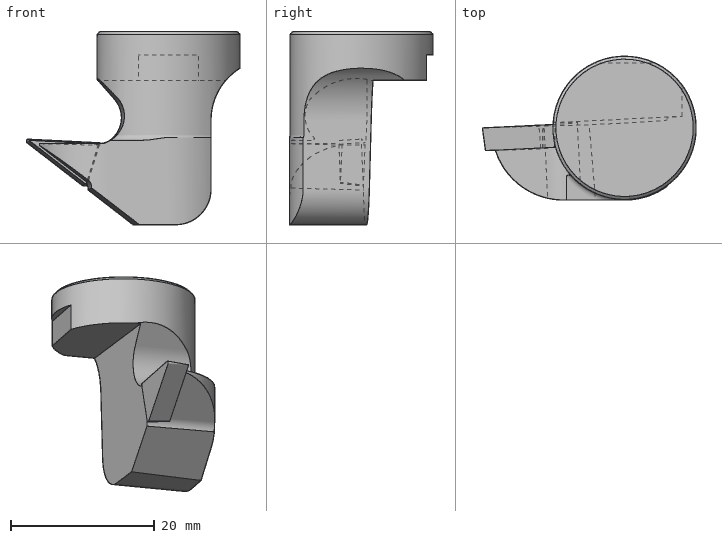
import cadquery as cq
import math

OVERALL_LENGTH = 29.87
TOTAL_HEIGHT = 27.0
SHANK_RADIUS = 10.0
TOP_CHAMFER = 0.42
FLAT_Y = 9.08
FLAT_TOP = 23.75
CEILING = 20.15

FOOT_TOP = 11.8
FOOT_RADIUS = 10.1
NOSE_X = -8.5
FOOT_FILLET = 0.75

FLANK_X = 5.95
FLANK_SCALLOP_RADIUS = 8.42
FLANK_SCALLOP_Z = 14.67
FLANK_CORNER_RADIUS = 5.0

TIP_X = SHANK_RADIUS - OVERALL_LENGTH
TIP_Z = 11.98
RAKE_SLOPE_X = 0.05
RAKE_SLOPE_Z = 0.027
CLEARANCE_ANGLE = 37.7
TIP_RADIUS = 0.3
INSERT_GAP = 0.6

GULLET_RADIUS = 3.9
GULLET_X = 9.38
GULLET_Y = 3
GULLET_WALL_ANGLE = 41
FLOOR_ANGLE = 1.5

INSERT_TOP_LENGTH = 10.3
INSERT_TOP_DROP = 0.5
INSERT_FOOT_X = 7.92
INSERT_FOOT_WIDTH = 0.55
INSERT_THICKNESS = 3.2
INSERT_TAPER = 5

RELIEF_RADIUS = 1.4
RELIEF_X = 7.23

REACH = 59.75
OVERLAP = 0.3

rake = cq.Plane(
    origin=(TIP_X, 0, TIP_Z),
    xDir=(1, RAKE_SLOPE_X, 0),
    normal=(RAKE_SLOPE_X, -1, RAKE_SLOPE_Z),
)


def underside_y(x):
    """Height of the underside in the rake plane, x to the right of the tip."""
    slope = math.radians(CLEARANCE_ANGLE)
    return -TIP_RADIUS - TIP_RADIUS / math.cos(slope) - (x - TIP_RADIUS) * math.tan(slope)


def make_shank():
    shank = cq.Workplane("XY").circle(SHANK_RADIUS).extrude(TOTAL_HEIGHT)
    shank = shank.faces(">Z").edges().chamfer(TOP_CHAMFER)
    flat = cq.Workplane("XY").box(REACH, REACH, FLAT_TOP, centered=(True, False, False))
    return shank.cut(flat.translate((0, FLAT_Y, 0)))


def make_foot_plan(height):
    """Foot outline with a round nose, a straight side and a round end."""
    nose_y = SHANK_RADIUS - FOOT_RADIUS
    return (
        cq.Workplane("XY")
        .moveTo(NOSE_X - SHANK_RADIUS, nose_y)
        .radiusArc((NOSE_X, -FOOT_RADIUS), -SHANK_RADIUS)
        .lineTo(0, -FOOT_RADIUS)
        .radiusArc((FOOT_RADIUS, 0), -FOOT_RADIUS)
        .lineTo(0, FOOT_RADIUS)
        .lineTo(NOSE_X - SHANK_RADIUS, FOOT_RADIUS)
        .close()
        .extrude(height)
    )


def make_foot_fillet():
    """Concave ring between the shank and the top of the foot."""
    ring = (
        cq.Workplane("XZ")
        .moveTo(SHANK_RADIUS - OVERLAP, FOOT_TOP)
        .lineTo(SHANK_RADIUS + FOOT_FILLET, FOOT_TOP)
        .radiusArc((SHANK_RADIUS, FOOT_TOP + FOOT_FILLET), FOOT_FILLET)
        .lineTo(SHANK_RADIUS - OVERLAP, FOOT_TOP + FOOT_FILLET)
        .close()
        .revolve(360, (0, 0, 0), (0, 1, 0))
    )
    return ring.intersect(make_foot_plan(TOTAL_HEIGHT))


def make_rake_cutter():
    """Everything in front of the rake plane and below the collar."""
    front = cq.Workplane(rake).rect(2 * REACH, 2 * REACH).extrude(-REACH)
    below_collar = cq.Workplane("XY").box(2 * REACH, 2 * REACH, REACH)
    return front.intersect(below_collar.translate((0, 0, CEILING - REACH / 2)))


def make_flank_cutter():
    """Waste right of the flank: scallop, straight wall and rounded lower corner."""
    scallop_centre_x = FLANK_X + FLANK_SCALLOP_RADIUS
    corner_x = FLANK_X - FLANK_CORNER_RADIUS
    return (
        cq.Workplane("XZ")
        .moveTo(corner_x, 0)
        .radiusArc((FLANK_X, FLANK_CORNER_RADIUS), -FLANK_CORNER_RADIUS)
        .lineTo(FLANK_X, FLANK_SCALLOP_Z)
        .radiusArc((scallop_centre_x, FLANK_SCALLOP_Z + FLANK_SCALLOP_RADIUS), FLANK_SCALLOP_RADIUS)
        .lineTo(scallop_centre_x, -OVERLAP)
        .lineTo(corner_x, -OVERLAP)
        .close()
        .extrude(REACH, both=True)
    )


def through_rake(sketch):
    """Extrude a rake-plane outline both ways through the whole body."""
    return sketch.extrude(REACH, both=True)


def make_gullet_cutter():
    def on_gullet(degrees):
        angle = math.radians(degrees)
        return (GULLET_X + GULLET_RADIUS * math.cos(angle), GULLET_Y + GULLET_RADIUS * math.sin(angle))

    wall = on_gullet(GULLET_WALL_ANGLE)
    floor = on_gullet(-90 - FLOOR_ANGLE)
    left_x = -GULLET_X
    floor_rise = (floor[0] - left_x) * math.tan(math.radians(FLOOR_ANGLE))
    wall_rise = (wall[0] - left_x) / math.tan(math.radians(GULLET_WALL_ANGLE))
    return through_rake(
        cq.Workplane(rake)
        .moveTo(left_x, floor[1] + floor_rise)
        .lineTo(*floor)
        .threePointArc(on_gullet(0), wall)
        .lineTo(left_x, wall[1] + wall_rise)
        .close()
    )


def make_underside_cutter(end_x, setback):
    """Waste below the sloping underside, from left of the tip to end_x."""
    start_x = -REACH / 2
    rise = setback / math.cos(math.radians(CLEARANCE_ANGLE))
    return through_rake(
        cq.Workplane(rake)
        .moveTo(start_x, underside_y(start_x) + rise)
        .lineTo(end_x, underside_y(end_x) + rise)
        .lineTo(end_x, -REACH)
        .lineTo(start_x, -REACH)
        .close()
    )


def make_insert_relief():
    """Set-back underside beside the insert, ending tangentially in a round groove."""
    slope = math.radians(CLEARANCE_ANGLE)
    centre_y = underside_y(RELIEF_X) + (INSERT_GAP - RELIEF_RADIUS) / math.cos(slope)
    tangent_x = RELIEF_X + RELIEF_RADIUS * math.sin(slope)
    groove = through_rake(cq.Workplane(rake).center(RELIEF_X, centre_y).circle(RELIEF_RADIUS))
    return make_underside_cutter(tangent_x, INSERT_GAP).union(groove)


def make_insert():
    """Roughly triangular cutting insert, tapering away from its rake face."""
    tangent_x = TIP_RADIUS * (1 - math.sin(math.radians(CLEARANCE_ANGLE)))
    return (
        cq.Workplane(rake)
        .moveTo(TIP_RADIUS, 0)
        .lineTo(INSERT_TOP_LENGTH, -INSERT_TOP_DROP)
        .lineTo(INSERT_FOOT_X + INSERT_FOOT_WIDTH, underside_y(INSERT_FOOT_X))
        .lineTo(INSERT_FOOT_X, underside_y(INSERT_FOOT_X))
        .lineTo(tangent_x, underside_y(tangent_x))
        .threePointArc((0, -TIP_RADIUS), (TIP_RADIUS, 0))
        .close()
        .extrude(INSERT_THICKNESS, taper=INSERT_TAPER)
    )


def make_body(insert):
    body = make_shank().union(make_foot_plan(FOOT_TOP)).union(make_foot_fillet())
    body = body.cut(make_rake_cutter()).cut(make_flank_cutter()).cut(make_gullet_cutter())
    body = body.cut(make_underside_cutter(REACH, 0))
    body = body.cut(make_insert_relief())
    return body.cut(insert)


insert = make_insert()
body = make_body(insert)
result = cq.Compound.makeCompound([body.val(), insert.val()])